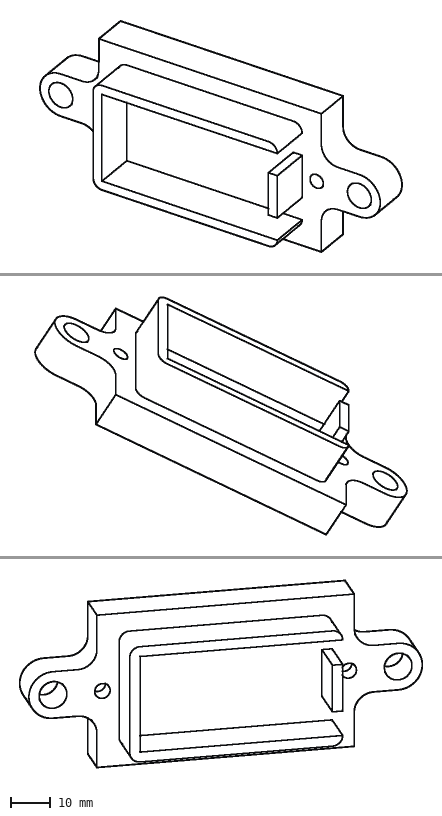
import cadquery as cq

length = 101.1
body_width = 66.1
body_height = 40.6
plate_depth = 10.1

ear_height = 12.4
ear_radius = ear_height / 2
ear_hole_diameter = 7.1
ear_hole_x = length / 2 - ear_radius
ear_fillet = 5.0

pilot_diameter = 3.9
pilot_x = 31.6
pilot_depth = 5.1

total_depth = 21.6
rim_depth = total_depth - plate_depth
rim_length = 54.7
rim_height = 30.7
wall = 2.6
tab_height = ear_height


def front_plane():
    """Sketch plane on the front face of the plate, with its normal toward -Y."""
    return cq.Workplane("XZ")


def make_plate():
    body = front_plane().rect(body_width, body_height).extrude(-plate_depth)
    ears = front_plane().slot2D(length, ear_height).extrude(-plate_depth)
    plate = body.union(ears)
    corners = cq.selectors.BoxSelector(
        (-body_width / 2 - wall, -wall, -ear_height / 2 - wall),
        (body_width / 2 + wall, plate_depth + wall, ear_height / 2 + wall),
    )
    return plate.edges("|Y").edges(corners).fillet(ear_fillet)


def make_rim():
    outer = front_plane().rect(rim_length, rim_height).extrude(rim_depth)
    outer = outer.edges("|Y").fillet(wall)
    cavity = (
        front_plane()
        .center(wall, 0)
        .rect(rim_length, rim_height - 2 * wall)
        .extrude(rim_depth)
    )
    return outer.cut(cavity)


def make_tab():
    """Short wall segment centred in the open end of the rim."""
    tab_x = (rim_length - wall) / 2
    return front_plane().center(tab_x, 0).rect(wall, tab_height).extrude(rim_depth)


def mirrored_holes(x, diameter, depth):
    """Pair of holes at -x and +x, drilled into the front of the plate."""
    return front_plane().pushPoints([(-x, 0), (x, 0)]).circle(diameter / 2).extrude(-depth)


result = (
    make_plate()
    .union(make_rim())
    .union(make_tab())
    .cut(mirrored_holes(ear_hole_x, ear_hole_diameter, plate_depth))
    .cut(mirrored_holes(pilot_x, pilot_diameter, pilot_depth))
)